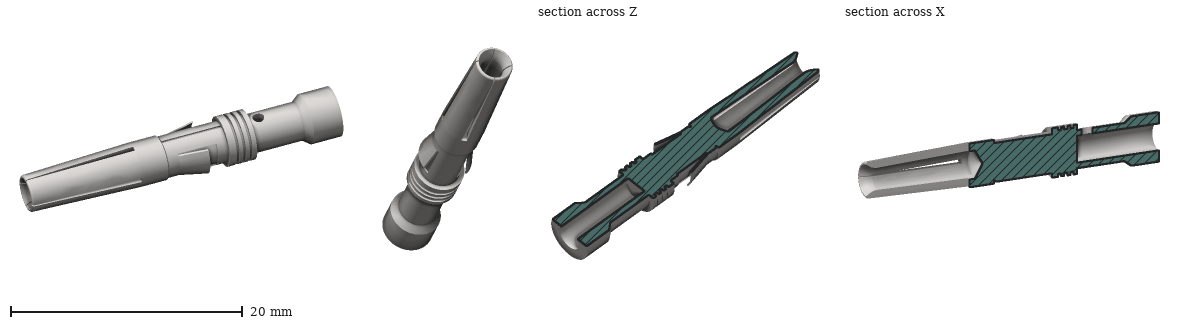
import cadquery as cq
import math

LENGTH = 28.5

collar_radius = 2.25
barrel_radius = 1.75
groove_radius = 2.0
core_radius = 1.7
sleeve_radius = 1.85
hood_radius = 2.0
tip_radius = 1.65

hood_start = 10.0
hood_end = 12.45
sleeve_start = 12.57
flange_start = 18.05
flange_end = 20.55
collar_cone_start = 25.1
collar_start = 25.8

groove_count = 3
groove_width = 0.25
groove_pitch = 0.6
first_groove_center = 18.8

tip_rounding = 0.2
mouth_radius = 1.42
mouth_chamfer_radius = 1.25
mouth_chamfer_depth = 0.28
throat_radius = 1.0
throat_depth = 1.08
flare_bulge = 0.05
socket_radius = 1.25
socket_depth = 10.55
drill_point_angle = 118.0

slot_tip_width = 0.09
slot_root_width = 0.48

wire_bore_radius = 1.2
wire_bore_depth = 7.98
inspection_radius = 0.5
inspection_station = 21.5

seam_width = 0.25
window_start = 13.57
window_end = 17.1
window_half_width = 1.3
tongue_end = 16.15
tongue_tip_radius = 2.4
tongue_root_half_width = 1.15
tongue_tip_half_width = 1.4
sleeve_thickness = sleeve_radius - core_radius


def revolve_profile(points):
    """Turn a closed (radius, station) outline about the Y axis."""
    return cq.Workplane("XY").polyline(points).close().revolve(360, (0, 0, 0), (0, 1, 0))


def cylinder(radius, start, end):
    return revolve_profile([(0, start), (radius, start), (radius, end), (0, end)])


def make_body():
    """Turned outside, from the rounded tip to the crimp collar."""
    round_center = (tip_radius - tip_rounding, tip_rounding)
    round_offset = tip_rounding * math.sqrt(0.5)
    outline = (
        cq.Workplane("XY")
        .lineTo(round_center[0], 0)
        .threePointArc(
            (round_center[0] + round_offset, round_center[1] - round_offset),
            (tip_radius, tip_rounding),
        )
        .lineTo(hood_radius, hood_start)
        .lineTo(hood_radius, hood_end)
        .lineTo(core_radius, hood_end)
        .lineTo(core_radius, flange_start)
        .lineTo(collar_radius, flange_start)
        .lineTo(collar_radius, flange_end)
        .lineTo(barrel_radius, flange_end)
        .lineTo(barrel_radius, collar_cone_start)
        .lineTo(collar_radius, collar_start)
        .lineTo(collar_radius, LENGTH)
        .lineTo(0, LENGTH)
        .close()
    )
    return outline.revolve(360, (0, 0, 0), (0, 1, 0))


def make_groove(center):
    start = center - groove_width / 2
    end = center + groove_width / 2
    floor = cylinder(groove_radius, start, end)
    return cylinder(2 * collar_radius, start, end).cut(floor)


def make_socket():
    """Flared mouth, throat, bore widening inwards and a drill point."""
    point_length = socket_radius / math.tan(math.radians(drill_point_angle / 2))
    flare_middle = (
        (mouth_chamfer_radius + throat_radius) / 2 - flare_bulge,
        (mouth_chamfer_depth + throat_depth) / 2,
    )
    outline = (
        cq.Workplane("XY")
        .lineTo(mouth_radius, 0)
        .lineTo(mouth_chamfer_radius, mouth_chamfer_depth)
        .threePointArc(flare_middle, (throat_radius, throat_depth))
        .lineTo(socket_radius, hood_start)
        .lineTo(socket_radius, socket_depth)
        .lineTo(0, socket_depth + point_length)
        .close()
    )
    return outline.revolve(360, (0, 0, 0), (0, 1, 0))


def make_finger_slot(plane):
    """Slot through both walls, wide at the hood and nearly closed at the tip."""
    tip = slot_tip_width / 2
    root = slot_root_width / 2
    return (
        cq.Workplane(plane)
        .polyline([(-tip, 0), (tip, 0), (root, hood_start), (-root, hood_start)])
        .close()
        .extrude(2 * hood_radius, both=True)
    )


def make_sleeve():
    """Thin tube around the core, with the top seam and two side windows cut out."""
    tube = cylinder(sleeve_radius, sleeve_start, flange_start)
    tube = tube.cut(cylinder(core_radius, sleeve_start, flange_start))
    sleeve_length = flange_start - sleeve_start
    seam = cq.Workplane("XY").box(
        seam_width, sleeve_length, 2 * sleeve_radius, centered=(True, False, False)
    ).translate((0, sleeve_start, 0))
    windows = cq.Workplane("XY").box(
        4 * sleeve_radius, window_end - window_start, 2 * window_half_width,
        centered=(True, False, True),
    ).translate((0, window_start, 0))
    return tube.cut(seam).cut(windows)


def make_tongues():
    """Conical strips rising from the front edge of each window."""
    shell = revolve_profile([
        (core_radius, window_start),
        (sleeve_radius, window_start),
        (tongue_tip_radius, tongue_end),
        (tongue_tip_radius - sleeve_thickness, tongue_end),
    ])
    strip = (
        cq.Workplane("YZ")
        .polyline([
            (window_start, -tongue_root_half_width),
            (tongue_end, -tongue_tip_half_width),
            (tongue_end, tongue_tip_half_width),
            (window_start, tongue_root_half_width),
        ])
        .close()
        .extrude(2 * tongue_tip_radius, both=True)
    )
    return shell.intersect(strip)


def make_inspection_hole():
    return (
        cq.Workplane("XY")
        .center(0, inspection_station)
        .circle(inspection_radius)
        .extrude(2 * barrel_radius)
    )


result = make_body().union(make_sleeve()).union(make_tongues())
for index in range(groove_count):
    result = result.cut(make_groove(first_groove_center + index * groove_pitch))
result = result.cut(make_socket())
for slot_plane in ("XY", "ZY"):
    result = result.cut(make_finger_slot(slot_plane))
result = result.cut(cylinder(wire_bore_radius, LENGTH - wire_bore_depth, LENGTH))
result = result.cut(make_inspection_hole())